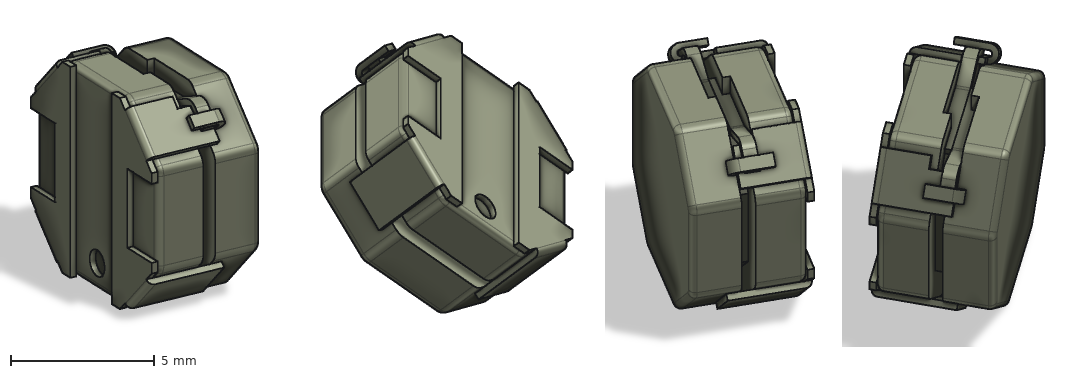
import cadquery as cq
import math

width = 8.0
height = 4.5
flat_half = 1.9
sheet = 0.25

half_width = width / 2
beyond = width
crown_y = height / 2
mount_y = -height / 2
core_base_y = mount_y + sheet
chamfer_distance = (half_width + flat_half) / math.sqrt(2)

corner_radius = 0.5
rim_radius = 0.25
groove_width = 0.5
groove_depth = 1.0
mark_radius = 0.5
mark_depth = 0.25
mark_z = -3.0
mid_y = (core_base_y + crown_y) / 2
post_apothem = half_width - groove_depth
post_flat_half = flat_half - groove_depth * math.tan(math.radians(22.5))

lead_width = 0.53
lead_slope = 20.7
lead_foot_x = 1.42
lead_end = 0.5
lead_bend = 0.3
lead_notch_x = 0.5

base_gap = 2.75
window_reach = 2.4
window_length = 2.99
tab_width = 2.0
plain_tab_top_y = 0.84
step_offset = 0.52
hook_width = 0.5
hook_start = -0.48
hook_overhang = 0.5


def octagon(apothem, side_half, y_start, y_end):
    """Octagonal block between two Y levels."""
    a, b = apothem, side_half
    corners = [(a, -b), (a, b), (b, a), (-b, a), (-a, b), (-a, -b), (-b, -a), (b, -a)]
    return cq.Workplane("XZ", origin=(0, y_start, 0)).polyline(corners).close().extrude(y_start - y_end)


def block(x_range, y_range, z_range):
    """Box given by its limits along each axis."""
    sizes = [end - start for start, end in (x_range, y_range, z_range)]
    return cq.Workplane("XY").box(*sizes, centered=False).translate((x_range[0], y_range[0], z_range[0]))


def mirrored(body):
    """Copy on the other side of the centre plane X = 0."""
    return body.mirror("YZ")


def make_lead(y_start):
    """Strip along the post's top side that climbs to the +X chamfer and lies on its tab."""
    slope = math.radians(lead_slope)
    rise = math.tan(slope)
    low = post_apothem
    high = low + sheet
    tail_under = chamfer_distance + sheet
    tail_over = tail_under + sheet

    def peak(foot, level, distance):
        """Where the slope rising from (foot, level) meets the tail face at this distance from the axis."""
        x = (distance * math.sqrt(2) - level + foot * rise) / (1 + rise)
        return x, level + (x - foot) * rise

    def tail_end(distance):
        return (distance + lead_end) / math.sqrt(2), (distance - lead_end) / math.sqrt(2)

    under_foot = (lead_foot_x + sheet * math.tan(slope / 2), low)
    over_foot = (lead_foot_x, high)
    under_peak = peak(*under_foot, tail_under)
    over_peak = peak(*over_foot, tail_over)

    outline = [
        (-post_flat_half, low),
        under_foot,
        under_peak,
        tail_end(tail_under),
        tail_end(tail_over),
        over_peak,
        over_foot,
        (-post_flat_half, high),
    ]
    lead = cq.Workplane("XZ", origin=(0, y_start, 0)).polyline(outline).close().extrude(-lead_width)

    def round_bend(strip, point, radius):
        edge_middle = (point[0], y_start + lead_width / 2, point[1])
        return strip.edges(cq.NearestToPointSelector(edge_middle)).fillet(radius)

    lead = round_bend(lead, under_foot, lead_bend + sheet)
    lead = round_bend(lead, over_foot, lead_bend)
    lead = round_bend(lead, under_peak, lead_bend)
    return round_bend(lead, over_peak, lead_bend + sheet)


def make_core(leads):
    """Octagonal core with a groove all round, two lead notches and a round mark."""
    core = octagon(half_width, flat_half, core_base_y, crown_y)
    core = core.edges("|Y").fillet(corner_radius)
    core = core.faces("<Y or >Y").edges().fillet(rim_radius)

    groove_start = mid_y - groove_width / 2
    groove_end = mid_y + groove_width / 2
    groove = octagon(beyond, half_width, groove_start, groove_end).cut(
        octagon(post_apothem, post_flat_half, groove_start, groove_end)
    )
    core = core.cut(groove)

    notch_z = (post_apothem, beyond)
    upper_notch = block((-lead_notch_x, beyond), (mid_y, mid_y + lead_width), notch_z)
    lower_notch = block((-beyond, lead_notch_x), (mid_y - lead_width, mid_y), notch_z)
    core = core.cut(upper_notch).cut(lower_notch)

    mark = (
        cq.Workplane("XZ", origin=(0, core_base_y, 0))
        .center(0, mark_z)
        .circle(mark_radius)
        .extrude(-mark_depth)
    )
    core = core.cut(mark)
    for lead in leads:
        core = core.cut(lead)
    return core


def make_tab(top_y):
    """Tab standing on the +X side, joined to the base by a rounded bend."""
    inner = chamfer_distance
    outer = inner + sheet
    bend_middle = (inner + sheet * math.sqrt(0.5), core_base_y - sheet * math.sqrt(0.5))
    return (
        cq.Workplane("XY", origin=(0, 0, -tab_width / 2))
        .moveTo(inner, top_y)
        .lineTo(inner, mount_y)
        .threePointArc(bend_middle, (outer, core_base_y))
        .lineTo(outer, top_y)
        .close()
        .extrude(tab_width)
    )


def make_hook(root_y, tail_y):
    """Strip that leaves the tab's top and folds back over the lead."""
    inner = chamfer_distance
    slot_near = inner + sheet
    slot_far = slot_near + sheet
    outer = slot_far + sheet
    fold_middle = (inner + outer) / 2
    fold_inner_radius = (slot_far - slot_near) / 2
    fold_outer_radius = (outer - inner) / 2
    return (
        cq.Workplane("XY", origin=(0, 0, hook_start))
        .moveTo(inner, root_y)
        .threePointArc((fold_middle, root_y + fold_outer_radius), (outer, root_y))
        .lineTo(outer, tail_y)
        .lineTo(slot_far, tail_y)
        .lineTo(slot_far, root_y)
        .threePointArc((fold_middle, root_y + fold_inner_radius), (slot_near, root_y))
        .close()
        .extrude(hook_width)
    )


def make_terminal(tab_top_y, lead_y, lead):
    """Base plate on the +X side with a plain lower tab and a hooked upper tab."""
    base = octagon(half_width, flat_half, mount_y, core_base_y)
    base = base.intersect(block((base_gap / 2, beyond), (mount_y, core_base_y), (-beyond, beyond)))
    window_z = (-window_length / 2, window_length / 2)
    base = base.cut(block((window_reach, beyond), (mount_y, core_base_y), window_z))

    step = block((0, beyond), (mid_y - lead_width, crown_y), (step_offset, beyond))
    upper_tab = make_tab(tab_top_y).cut(step).union(make_hook(tab_top_y, lead_y - hook_overhang))
    upper_tab = upper_tab.rotate((0, 0, 0), (0, 1, 0), -45)
    lower_tab = make_tab(plain_tab_top_y).rotate((0, 0, 0), (0, 1, 0), 45)

    return base.union(upper_tab).union(lower_tab).cut(lead)


upper_lead_y = mid_y
lower_lead_y = mid_y - lead_width
right_lead = make_lead(upper_lead_y)
lead_to_mirror = make_lead(lower_lead_y)
left_lead = mirrored(lead_to_mirror)

core = make_core([right_lead, left_lead])

right_terminal = make_terminal(mid_y + lead_width, upper_lead_y, right_lead)
left_terminal = mirrored(make_terminal(mid_y + groove_width / 2, lower_lead_y, lead_to_mirror))

result = cq.Compound.makeCompound([
    core.val(),
    right_lead.val(),
    left_lead.val(),
    right_terminal.val(),
    left_terminal.val(),
])